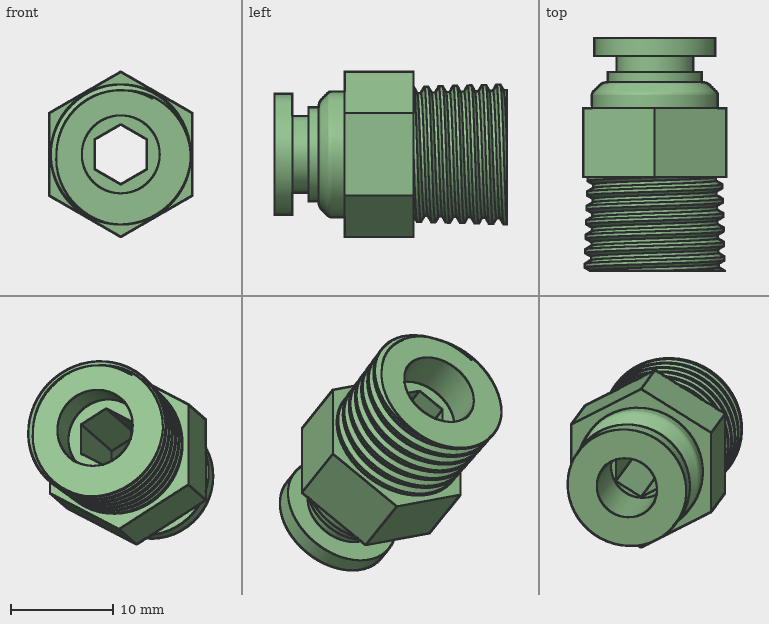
import cadquery as cq
import math


thread_length = 9.14
hex_top = 15.87
shoulder_top = 18.4
collar_top = 19.41
flange_bottom = 20.95
total_length = 22.73

hex_across_flats = 13.98
hex_turn = 30.0
shoulder_diameter = 12.32
shoulder_chamfer = 1.07
shoulder_top_fillet = 1.0
shoulder_side_fillet = 0.5
collar_diameter = 9.2

bore_diameter = 7.61
bore_depth = 4.23
socket_across_flats = 5.05

flange_diameter = 11.85
neck_diameter = 7.52
tube_bore_diameter = 6.0
sleeve_seat = hex_top

pitch = 1.4
thread_depth = 0.6
end_crest_radius = 6.86
taper_slope = 1 / 32
flank_angle = 30.0
first_crest = 0.5
root_overlap = 0.07


def along_y(start):
    """Workplane across the axis at Y = start, facing +Y, with local x along +X."""
    return cq.Workplane(cq.Plane(origin=(0, start, 0), xDir=(1, 0, 0), normal=(0, 1, 0)))


def cylinder(diameter, start, end):
    return along_y(start).circle(diameter / 2).extrude(end - start)


def hexagon(across_flats, start, end):
    """Hexagonal prism with corners on the Z axis."""
    corner_diameter = across_flats / math.cos(math.radians(hex_turn))
    prism = along_y(start).polygon(6, corner_diameter).extrude(end - start)
    return prism.rotate((0, 0, 0), (0, 1, 0), hex_turn)


def make_shoulder():
    """Round shoulder with a 45 degree chamfer, blended at both of its edges."""
    chamfer_start = shoulder_top - shoulder_chamfer
    shoulder = cylinder(shoulder_diameter, hex_top, shoulder_top)
    shoulder = shoulder.faces(">Y").edges().chamfer(shoulder_chamfer)
    shoulder = shoulder.faces(">Y").edges().fillet(shoulder_top_fillet)
    radius = shoulder_diameter / 2
    margin = 0.02
    edge_zone = cq.selectors.BoxSelector(
        (-radius, chamfer_start - margin, -radius),
        (radius, chamfer_start + margin, radius),
    )
    return shoulder.edges(edge_zone).fillet(shoulder_side_fillet)


def make_thread():
    """Tapered core with one helical ridge, modelled along +Z from the hexagon to the open end."""
    hex_crest_radius = end_crest_radius - thread_length * taper_slope
    hex_root_radius = hex_crest_radius - thread_depth
    end_root_radius = end_crest_radius - thread_depth
    core = (
        cq.Workplane("XZ")
        .polyline([(0, 0), (hex_root_radius, 0), (end_root_radius, thread_length), (0, thread_length)])
        .close()
        .revolve(360, (0, 0, 0), (0, 1, 0))
    )

    overrun = 2 * pitch
    crest_phase = (thread_length - first_crest + pitch / 2) % pitch
    ridge_start = crest_phase - overrun
    ridge_length = thread_length + 2 * overrun
    start_crest_radius = hex_crest_radius + ridge_start * taper_slope
    start_root_radius = start_crest_radius - thread_depth - root_overlap

    flank_run = math.tan(math.radians(flank_angle))
    crest_half = (pitch / 2 - thread_depth * flank_run) / 2
    base_half = crest_half + (thread_depth + root_overlap) * flank_run
    helix = cq.Wire.makeHelix(
        pitch,
        ridge_length,
        start_root_radius,
        cq.Vector(0, 0, ridge_start),
        cq.Vector(0, 0, 1),
        math.degrees(math.atan(taper_slope)),
    )
    ridge = (
        cq.Workplane("XZ")
        .polyline([
            (start_root_radius, ridge_start - base_half),
            (start_crest_radius, ridge_start - crest_half),
            (start_crest_radius, ridge_start + crest_half),
            (start_root_radius, ridge_start + base_half),
        ])
        .close()
        .sweep(cq.Workplane(obj=helix), isFrenet=True)
    )
    envelope = cq.Workplane("XY").circle(2 * end_crest_radius).extrude(thread_length)
    thread = core.union(ridge.intersect(envelope))
    return thread.rotate((0, 0, 0), (1, 0, 0), 90).translate((0, thread_length, 0))


def make_housing():
    outside = (
        hexagon(hex_across_flats, thread_length, hex_top)
        .union(make_shoulder())
        .union(cylinder(collar_diameter, shoulder_top, collar_top))
        .union(make_thread())
    )
    return (
        outside.cut(cylinder(bore_diameter, 0, bore_depth))
        .cut(hexagon(socket_across_flats, bore_depth, sleeve_seat))
        .cut(cylinder(neck_diameter, sleeve_seat, collar_top))
    )


def make_release_sleeve():
    neck = cylinder(neck_diameter, sleeve_seat, flange_bottom)
    flange = cylinder(flange_diameter, flange_bottom, total_length)
    return neck.union(flange).cut(cylinder(tube_bore_diameter, sleeve_seat, total_length))


housing = make_housing()
release_sleeve = make_release_sleeve()

result = cq.Compound.makeCompound([housing.solids().val(), release_sleeve.solids().val()])